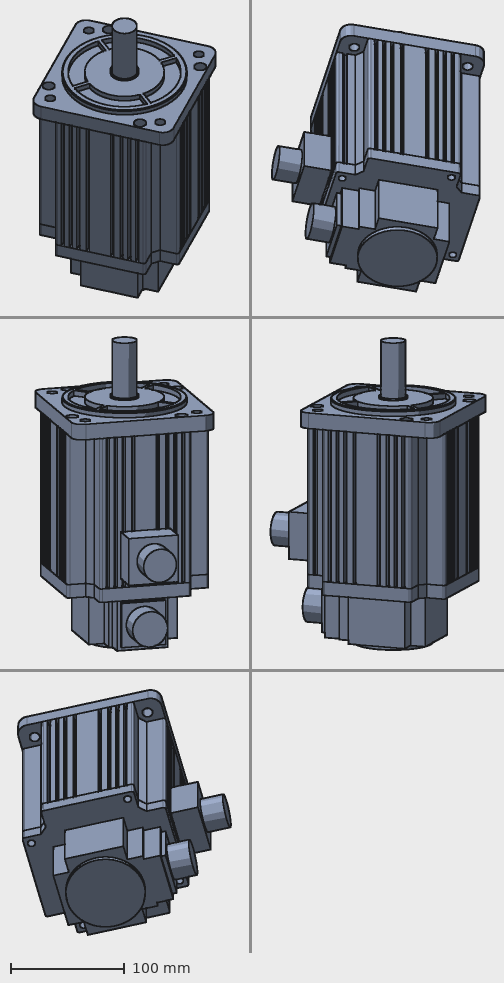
import cadquery as cq

DISC_HEIGHT = 4.0
ENCODER_HEIGHT = 47.7
REAR_COVER_HEIGHT = 12.2
HOUSING_HEIGHT = 136.5
FLANGE_HEIGHT = 14.0
PILOT_HEIGHT = 5.0
SEAL_HEIGHT = 1.5
TOTAL_HEIGHT = 271.0

ENCODER_BOTTOM = DISC_HEIGHT
REAR_COVER_BOTTOM = ENCODER_BOTTOM + ENCODER_HEIGHT
HOUSING_BOTTOM = REAR_COVER_BOTTOM + REAR_COVER_HEIGHT
FLANGE_BOTTOM = HOUSING_BOTTOM + HOUSING_HEIGHT
FLANGE_TOP = FLANGE_BOTTOM + FLANGE_HEIGHT
PILOT_TOP = FLANGE_TOP + PILOT_HEIGHT

MOTOR_WIDTH = 130.0
HALF_WIDTH = MOTOR_WIDTH / 2
NOTCH_WALL = 42.0
NOTCH_CHAMFER_START = 48.0
ARM_EDGE_RADIUS = 2.2

GROOVE_OFFSETS = (11.5, 20.0, 27.5, 34.7)
GROOVE_WIDTH = 2.7
GROOVE_DEPTH = 5.7

WALL_GROOVE_START = 55.5
WALL_GROOVE_WIDTH = 3.8
WALL_GROOVE_DEPTH = 1.0
WALL_GROOVE_CORE_WIDTH = 2.5
WALL_GROOVE_CORE_DEPTH = 2.2

FLANGE_CORNER_RADIUS = 10.0
MOUNT_HOLE_OFFSET = 51.2
MOUNT_HOLE_DIAMETER = 9.0
SCREW_ACROSS = 35.0
SCREW_OUT = 58.3
SCREW_HOLE_DIAMETER = 6.5
SCREW_HEAD_DIAMETER = 10.8
SCREW_HEAD_DEPTH = 9.5
PILOT_DIAMETER = 110.0
PILOT_CHAMFER = 0.8
RECESS_OUTER_DIAMETER = 99.2
RECESS_INNER_DIAMETER = 70.0
RECESS_DEPTH = 5.0
WEB_THICKNESS = 3.5

SHAFT_DIAMETER = 22.0
SEAL_DIAMETER = 25.2
SEAL_BORE = 23.5

ENCODER_WIDTH = 81.3
ENCODER_NOTCH_WALL = 26.5
DISC_DIAMETER = 70.0
SOCKET_BLOCK_WIDTH = 46.5
SOCKET_BLOCK_FACE = 55.5

ENCODER_PLUG_Z = 28.0
ENCODER_PLATE_SIZE = 40.0
ENCODER_PLATE_THICKNESS = 4.0
ENCODER_PLUG_DIAMETER = 32.0
ENCODER_PLUG_LENGTH = 19.8

POWER_PLUG_Z = 93.2
POWER_BOX_WIDTH = 45.3
POWER_BOX_HEIGHT = 42.5
POWER_BOX_LENGTH = 24.7
POWER_PLUG_DIAMETER = 30.0
POWER_PLUG_LENGTH = 20.3


def cylinder(diameter, height, bottom):
    """Cylinder on the motor axis."""
    return cq.Workplane("XY").workplane(offset=bottom).circle(diameter / 2).extrude(height)


def box(x_size, y_start, y_size, bottom, height):
    """Box centred on X = 0, running from y_start towards +Y."""
    block = cq.Workplane("XY").box(x_size, y_size, height, centered=(True, False, False))
    return block.translate((0, y_start, bottom))


def screw_positions():
    """Four screw places, each a quarter turn from the one before."""
    return [
        (-SCREW_ACROSS, SCREW_OUT),
        (SCREW_OUT, SCREW_ACROSS),
        (SCREW_ACROSS, -SCREW_OUT),
        (-SCREW_OUT, -SCREW_ACROSS),
    ]


def notched_prism(bottom, height):
    """Square column with a chamfered notch in each corner and rounded arm edges."""
    column = cq.Workplane("XY").workplane(offset=bottom).rect(MOTOR_WIDTH, MOTOR_WIDTH).extrude(height)
    notch = (
        cq.Workplane("XY")
        .workplane(offset=bottom)
        .moveTo(HALF_WIDTH, NOTCH_WALL)
        .lineTo(NOTCH_CHAMFER_START, NOTCH_WALL)
        .lineTo(NOTCH_WALL, NOTCH_CHAMFER_START)
        .lineTo(NOTCH_WALL, HALF_WIDTH)
        .lineTo(HALF_WIDTH, HALF_WIDTH)
        .close()
        .extrude(height)
    )
    for quarter in range(4):
        column = column.cut(notch.rotate((0, 0, 0), (0, 0, 1), 90 * quarter))
    inner = HALF_WIDTH - ARM_EDGE_RADIUS
    notch_edges = cq.selectors.BoxSelector((-inner, -inner, 0), (inner, inner, TOTAL_HEIGHT))
    arm_edges = column.edges("|Z").edges(cq.selectors.InverseSelector(notch_edges))
    return arm_edges.fillet(ARM_EDGE_RADIUS)


def make_housing():
    """Finned motor body."""
    housing = notched_prism(HOUSING_BOTTOM, HOUSING_HEIGHT)
    offsets = [side * offset for side in (-1, 1) for offset in GROOVE_OFFSETS]
    grooves = (
        cq.Workplane("XY")
        .workplane(offset=HOUSING_BOTTOM)
        .pushPoints([(offset, HALF_WIDTH) for offset in offsets])
        .rect(GROOVE_WIDTH, 2 * GROOVE_DEPTH)
        .extrude(HOUSING_HEIGHT)
    )
    for quarter in range(4):
        housing = housing.cut(grooves.rotate((0, 0, 0), (0, 0, 1), 90 * quarter))
    for width, depth in (
        (WALL_GROOVE_WIDTH, WALL_GROOVE_DEPTH),
        (WALL_GROOVE_CORE_WIDTH, WALL_GROOVE_CORE_DEPTH),
    ):
        step = box(2 * depth, WALL_GROOVE_START, width, HOUSING_BOTTOM, HOUSING_HEIGHT)
        housing = housing.cut(step.translate((-NOTCH_WALL, 0, 0)))
    return housing


def make_rear_cover():
    """End cover with the housing outline and four screw holes."""
    cover = notched_prism(REAR_COVER_BOTTOM, REAR_COVER_HEIGHT)
    top = cover.faces(">Z").workplane(origin=(0, 0, 0))
    return top.pushPoints(screw_positions()).hole(SCREW_HOLE_DIAMETER)


def make_pilot():
    """Round centring boss with a ring recess divided by four diagonal webs."""
    pilot = cylinder(PILOT_DIAMETER, PILOT_HEIGHT, FLANGE_TOP).faces(">Z").edges().chamfer(PILOT_CHAMFER)
    recess_floor = PILOT_TOP - RECESS_DEPTH
    recess = cylinder(RECESS_OUTER_DIAMETER, RECESS_DEPTH, recess_floor)
    recess = recess.cut(cylinder(RECESS_INNER_DIAMETER, RECESS_DEPTH, recess_floor))
    for angle in (45, 135):
        web = cq.Workplane("XY").box(
            PILOT_DIAMETER, WEB_THICKNESS, RECESS_DEPTH, centered=(True, True, False)
        )
        recess = recess.cut(web.rotate((0, 0, 0), (0, 0, 1), angle).translate((0, 0, recess_floor)))
    return pilot.cut(recess)


def make_flange():
    """Square mounting flange with its centring boss, bored for the shaft."""
    plate = (
        cq.Workplane("XY")
        .workplane(offset=FLANGE_BOTTOM)
        .rect(MOTOR_WIDTH, MOTOR_WIDTH)
        .extrude(FLANGE_HEIGHT)
        .edges("|Z")
        .fillet(FLANGE_CORNER_RADIUS)
    )
    top = plate.faces(">Z").workplane(origin=(0, 0, 0))
    mount_square = top.rect(2 * MOUNT_HOLE_OFFSET, 2 * MOUNT_HOLE_OFFSET, forConstruction=True)
    plate = mount_square.vertices().hole(MOUNT_HOLE_DIAMETER)
    top = plate.faces(">Z").workplane(origin=(0, 0, 0))
    plate = top.pushPoints(screw_positions()).cboreHole(
        SCREW_HOLE_DIAMETER, SCREW_HEAD_DIAMETER, SCREW_HEAD_DEPTH
    )
    bore = cylinder(SHAFT_DIAMETER, FLANGE_HEIGHT + PILOT_HEIGHT, FLANGE_BOTTOM)
    return plate.union(make_pilot()).cut(bore)


def make_shaft():
    """Plain shaft running down through the flange to the housing."""
    return cylinder(SHAFT_DIAMETER, TOTAL_HEIGHT - FLANGE_BOTTOM, FLANGE_BOTTOM)


def make_seal():
    """Raised ring around the shaft, with a small gap to it."""
    ring = cylinder(SEAL_DIAMETER, SEAL_HEIGHT, PILOT_TOP)
    return ring.cut(cylinder(SEAL_BORE, SEAL_HEIGHT, PILOT_TOP))


def make_encoder_cover():
    """Cross-shaped cover with a socket block on +Y and a disc underneath."""
    half = ENCODER_WIDTH / 2
    wide_arm = box(ENCODER_WIDTH, -ENCODER_NOTCH_WALL, 2 * ENCODER_NOTCH_WALL, ENCODER_BOTTOM, ENCODER_HEIGHT)
    deep_arm = box(2 * ENCODER_NOTCH_WALL, -half, ENCODER_WIDTH, ENCODER_BOTTOM, ENCODER_HEIGHT)
    block = box(SOCKET_BLOCK_WIDTH, half, SOCKET_BLOCK_FACE - half, ENCODER_BOTTOM, ENCODER_HEIGHT)
    return wide_arm.union(deep_arm).union(block).union(cylinder(DISC_DIAMETER, DISC_HEIGHT, 0))


def make_connector(width, height, base_length, plug_diameter, plug_length, y_start, z_centre):
    """Rectangular base with a round plug, both pointing towards +Y."""
    base = box(width, y_start, base_length, z_centre - height / 2, height)
    plug = cq.Workplane("XZ", origin=(0, y_start + base_length, z_centre)).circle(plug_diameter / 2)
    return base.union(plug.extrude(-plug_length))


housing = make_housing()
rear_cover = make_rear_cover()
flange = make_flange()
shaft = make_shaft()
seal = make_seal()
encoder_cover = make_encoder_cover()
encoder_connector = make_connector(
    ENCODER_PLATE_SIZE,
    ENCODER_PLATE_SIZE,
    ENCODER_PLATE_THICKNESS,
    ENCODER_PLUG_DIAMETER,
    ENCODER_PLUG_LENGTH,
    SOCKET_BLOCK_FACE,
    ENCODER_PLUG_Z,
)
power_connector = make_connector(
    POWER_BOX_WIDTH,
    POWER_BOX_HEIGHT,
    POWER_BOX_LENGTH,
    POWER_PLUG_DIAMETER,
    POWER_PLUG_LENGTH,
    HALF_WIDTH,
    POWER_PLUG_Z,
)

result = cq.Compound.makeCompound(
    [
        housing.val(),
        rear_cover.val(),
        flange.val(),
        shaft.val(),
        seal.val(),
        encoder_cover.val(),
        encoder_connector.val(),
        power_connector.val(),
    ]
)